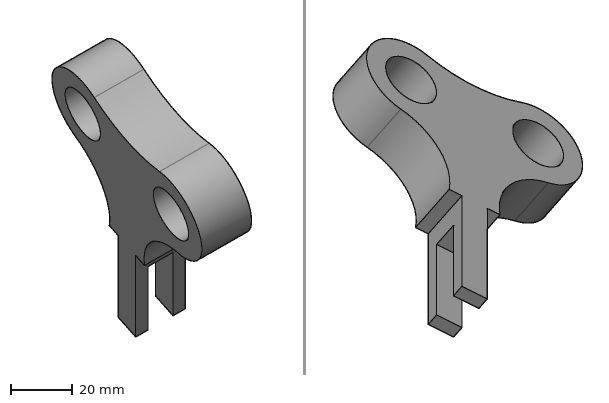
import cadquery as cq
import math

height = 107.4
thickness = 20.0
lobe_radius = 17.5
lobe_spacing = 50.0
hole_diameter = 20.0
neck_width = 20.0
top_radius = 50.0
side_radius = 25.0
stem_width = 10.0
stem_length = 45.0
slot_width = 10.0
slot_depth = 35.0

lobe_x = lobe_spacing / 2
lobe_z = height - lobe_radius
neck_x = neck_width / 2


def point_towards(start, end, distance):
    """Point at a distance from start along the line to end."""
    ratio = distance / math.dist(start, end)
    return (start[0] + ratio * (end[0] - start[0]), start[1] + ratio * (end[1] - start[1]))


def mirrored(point):
    return (-point[0], point[1])


def side_arc_center():
    """Centre of the concave side that touches the lobe and ends at the neck corner."""
    run = neck_x - lobe_x
    rise = stem_length - lobe_z
    span = math.hypot(run, rise)
    reach = lobe_radius + side_radius
    along = (reach**2 - side_radius**2 + span**2) / (2 * span)
    across = math.sqrt(reach**2 - along**2)
    return (
        lobe_x + (along * run - across * rise) / span,
        lobe_z + (along * rise + across * run) / span,
    )


def make_bow():
    """Two round lobes blended by concave arcs at the top and sides."""
    lobe = (lobe_x, lobe_z)
    neck = (neck_x, stem_length)
    top_center = (0, lobe_z + math.sqrt((lobe_radius + top_radius) ** 2 - lobe_x**2))
    top_touch = point_towards(lobe, top_center, lobe_radius)
    top_middle = (0, top_center[1] - top_radius)
    side_center = side_arc_center()
    side_touch = point_towards(lobe, side_center, lobe_radius)
    chord_middle = ((side_touch[0] + neck[0]) / 2, (side_touch[1] + neck[1]) / 2)
    side_middle = point_towards(side_center, chord_middle, side_radius)
    lobe_outer = (lobe_x + lobe_radius, lobe_z)

    return (
        cq.Workplane("XZ")
        .moveTo(*mirrored(neck))
        .lineTo(*neck)
        .threePointArc(side_middle, side_touch)
        .threePointArc(lobe_outer, top_touch)
        .threePointArc(top_middle, mirrored(top_touch))
        .threePointArc(mirrored(lobe_outer), mirrored(side_touch))
        .threePointArc(mirrored(side_middle), mirrored(neck))
        .close()
        .extrude(thickness / 2, both=True)
    )


def make_holes():
    """A through hole concentric with each lobe."""
    return (
        cq.Workplane("XZ")
        .pushPoints([(-lobe_x, lobe_z), (lobe_x, lobe_z)])
        .circle(hole_diameter / 2)
        .extrude(thickness, both=True)
    )


def make_stem():
    """Stem below the neck, forked by a slot open at the bottom."""
    stem = cq.Workplane("XY").rect(stem_width, thickness).extrude(stem_length)
    slot = cq.Workplane("XY").rect(stem_width, slot_width).extrude(slot_depth)
    return stem.cut(slot)


result = make_bow().cut(make_holes()).union(make_stem())